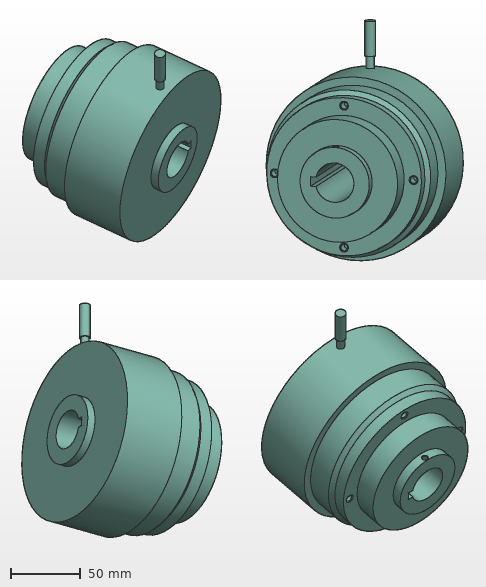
import cadquery as cq

total_length = 111.0
drum_diameter = 133.3
total_height = 167.6

front_hub_end = 7.7
flange_end = 25.3
bevel_start = 34.7
bevel_end = 37.9
drum_start = 57.7
drum_end = 104.8

hub_diameter = 51.3
flange_diameter = 89.0
bolt_ring_diameter = 114.7
collar_diameter = 121.4

bore_diameter = 28.5
key_width = 6.7
key_reach = 17.8

bolt_hole_count = 4
bolt_circle_radius = 51.5
bolt_hole_diameter = 5.0
bolt_mouth_diameter = 6.4
bolt_hole_depth = 10.0

set_screw_x = 2.8
set_screw_diameter = 3.9
set_screw_mouth_diameter = 4.9

handle_x = 95.9
neck_diameter = 6.0
grip_diameter = 7.9
grip_length = 25.5


def stepped_body():
    """Revolve the half profile about X."""
    hub_r = hub_diameter / 2
    flange_r = flange_diameter / 2
    ring_r = bolt_ring_diameter / 2
    collar_r = collar_diameter / 2
    drum_r = drum_diameter / 2
    profile = [
        (0, 0),
        (0, hub_r),
        (front_hub_end, hub_r),
        (front_hub_end, flange_r),
        (flange_end, flange_r),
        (flange_end, ring_r),
        (bevel_start, ring_r),
        (bevel_end, collar_r),
        (drum_start, collar_r),
        (drum_start, drum_r),
        (drum_end, drum_r),
        (drum_end, hub_r),
        (total_length, hub_r),
        (total_length, 0),
    ]
    return cq.Workplane("XZ").polyline(profile).close().revolve(360, (0, 0, 0), (1, 0, 0))


def rod(diameter, length, start, direction):
    return cq.Workplane(cq.Solid.makeCylinder(diameter / 2, length, cq.Vector(*start), cq.Vector(*direction)))


def countersunk_cutter(diameter, mouth_diameter, depth, mouth, direction):
    """Round hole with a 45 degree lead-in at its mouth."""
    lead_in = cq.Solid.makeCone(
        mouth_diameter / 2,
        diameter / 2,
        (mouth_diameter - diameter) / 2,
        cq.Vector(*mouth),
        cq.Vector(*direction),
    )
    return rod(diameter, depth, mouth, direction).union(cq.Workplane(lead_in))


def handle():
    """Thin neck rooted inside the drum, carrying a thicker grip."""
    root_z = collar_diameter / 2
    grip_start = total_height - drum_diameter / 2 - grip_length
    neck = rod(neck_diameter, grip_start - root_z, (handle_x, 0, root_z), (0, 0, 1))
    grip = rod(grip_diameter, grip_length, (handle_x, 0, grip_start), (0, 0, 1))
    return neck.union(grip)


body = stepped_body().union(handle())

body = body.cut(rod(bore_diameter, total_length, (0, 0, 0), (1, 0, 0)))
keyway = cq.Workplane("XY").box(total_length, key_reach, key_width, centered=(False, False, True))
body = body.cut(keyway)

bolt_hole = countersunk_cutter(
    bolt_hole_diameter,
    bolt_mouth_diameter,
    bolt_hole_depth,
    (flange_end, 0, bolt_circle_radius),
    (1, 0, 0),
)
for index in range(bolt_hole_count):
    angle = index * 360 / bolt_hole_count
    body = body.cut(bolt_hole.rotate((0, 0, 0), (1, 0, 0), angle))

set_screw_hole = countersunk_cutter(
    set_screw_diameter,
    set_screw_mouth_diameter,
    hub_diameter / 2,
    (set_screw_x, 0, hub_diameter / 2),
    (0, 0, -1),
)
result = body.cut(set_screw_hole)